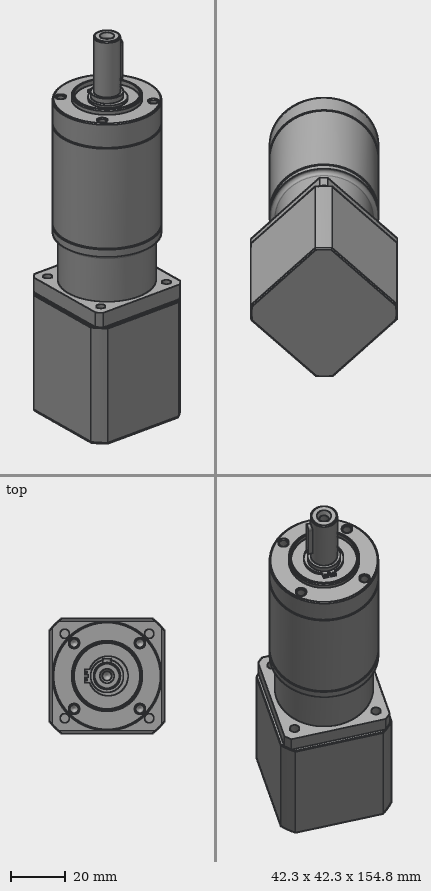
import cadquery as cq
import math

MOTOR_WIDTH = 42.3
CORNER_RADIUS = 27.0
MOTOR_HEIGHT = 48.3
TOP_BREAK_HEIGHT = 0.5
TOP_BREAK_INSET = 0.2
BOTTOM_BREAK_HEIGHT = 0.8
BOTTOM_BREAK_INSET = 0.5

FLANGE_WIDTH = 40.1
FLANGE_THICKNESS = 6.0
FLANGE_HOLE_SPACING = 31.0
FLANGE_HOLE_DIAMETER = 3.4

NECK_RADIUS = 18.1
BARREL_RADIUS = FLANGE_WIDTH / 2
BARREL_BOTTOM = 73.8
BARREL_TOP = 128.8
NECK_FILLET = 1.5
RIM_CHAMFER = 0.5
GROOVE_WIDTH = 0.5
GROOVE_DEPTH = 0.2
GROOVE_HEIGHTS = (76.8, 118.4)

TAPPED_HOLE_SPACING = 24.1
TAPPED_HOLE_RADIUS = 1.5
TAPPED_HOLE_DEPTH = 7.7
TAPPED_COUNTERSINK_RADIUS = 2.0
TAPPED_COUNTERSINK_DEPTH = 0.5
PILOT_RADIUS = 13.0
PILOT_HEIGHT = 2.0
RECESS_RADIUS = 12.0
RECESS_DEPTH = 1.9

RING_RADIUS = 7.3
RING_OFFSET = 0.5
RING_THICKNESS = 1.0
LUG_REACH = 8.2
LUG_WIDTH = 2.0
LUG_GAP = 0.8
LUG_HOLE_RADIUS = 0.3

SHAFT_TOP = 154.8
SHAFT_RADIUS = 5.0
COLLAR_RADIUS = 6.0
COLLAR_HEIGHT = 3.1
CENTRE_HOLE_RADIUS = 1.7
CENTRE_HOLE_DEPTH = 9.3
CENTRE_CONE_RADIUS = 2.6
CENTRE_CONE_DEPTH = 1.9
DRILL_TIP_ANGLE = 118.0

KEY_WIDTH = 3.0
KEY_LENGTH = 16.0
KEY_TOP_GAP = 3.5
KEY_CREST = 6.3

FLANGE_TOP = MOTOR_HEIGHT + FLANGE_THICKNESS
PILOT_TOP = BARREL_TOP + PILOT_HEIGHT
RECESS_FLOOR = PILOT_TOP - RECESS_DEPTH
COLLAR_TOP = BARREL_TOP + COLLAR_HEIGHT


def rounded_square(width, bottom, height):
    """Square prism whose corners are trimmed by a cylinder around the Z axis."""
    block = cq.Workplane("XY").workplane(offset=bottom).rect(width, width).extrude(height)
    trim = cq.Workplane("XY").workplane(offset=bottom).circle(CORNER_RADIUS).extrude(height)
    return block.intersect(trim)


def cylinder(radius, bottom, top):
    """Cylinder around the Z axis between two heights."""
    return cq.Workplane("XY").workplane(offset=bottom).circle(radius).extrude(top - bottom)


def square_pattern(spacing, tool):
    """Four copies of a tool on the corners of a square around the Z axis."""
    corners = cq.Workplane("XY").rect(spacing, spacing, forConstruction=True).vertices()
    return corners.eachpoint(lambda place: tool.val().moved(place))


def drilled_hole(radius, depth, cone_radius, cone_depth, mouth):
    """Countersunk blind hole on the Z axis: depth is to the end of the bore, below it the drill tip."""
    tip_depth = radius / math.tan(math.radians(DRILL_TIP_ANGLE / 2))
    return (
        cq.Workplane("XZ")
        .moveTo(0, mouth)
        .lineTo(cone_radius, mouth)
        .lineTo(radius, mouth - cone_depth)
        .lineTo(radius, mouth - depth)
        .lineTo(0, mouth - depth - tip_depth)
        .close()
        .revolve(360, (0, 0), (0, 1))
    )


def add_tapered_end(body, end, height, inset):
    """Extend an end face outward by a height while its outline shrinks by an inset."""
    taper = math.degrees(math.atan2(inset, height))
    return body.faces(end).wires().toPending().workplane().extrude(height, taper=taper)


def make_motor():
    """Block with full section in the middle and a tapered edge break at both ends."""
    full_height = MOTOR_HEIGHT - TOP_BREAK_HEIGHT - BOTTOM_BREAK_HEIGHT
    motor = rounded_square(MOTOR_WIDTH, BOTTOM_BREAK_HEIGHT, full_height)
    motor = add_tapered_end(motor, ">Z", TOP_BREAK_HEIGHT, TOP_BREAK_INSET)
    return add_tapered_end(motor, "<Z", BOTTOM_BREAK_HEIGHT, BOTTOM_BREAK_INSET)


def make_flange():
    flange = rounded_square(FLANGE_WIDTH, MOTOR_HEIGHT, FLANGE_THICKNESS)
    hole = cylinder(FLANGE_HOLE_DIAMETER / 2, MOTOR_HEIGHT, FLANGE_TOP)
    return flange.cut(square_pattern(FLANGE_HOLE_SPACING, hole))


def make_barrel():
    """Grooved barrel with the filleted neck below it."""
    barrel = cylinder(BARREL_RADIUS, BARREL_BOTTOM, BARREL_TOP)
    barrel = barrel.faces(">Z").edges().chamfer(RIM_CHAMFER)
    for height in GROOVE_HEIGHTS:
        groove = cylinder(BARREL_RADIUS, height, height + GROOVE_WIDTH)
        core = cylinder(BARREL_RADIUS - GROOVE_DEPTH, height, height + GROOVE_WIDTH)
        barrel = barrel.cut(groove.cut(core))
    barrel = barrel.union(cylinder(NECK_RADIUS, FLANGE_TOP, BARREL_BOTTOM))
    inner_corner = cq.selectors.BoxSelector(
        (-BARREL_RADIUS, -BARREL_RADIUS, BARREL_BOTTOM - 0.2),
        (BARREL_RADIUS, BARREL_RADIUS, BARREL_BOTTOM + 0.2),
    )
    return barrel.edges(inner_corner).edges(cq.selectors.RadiusNthSelector(0)).fillet(NECK_FILLET)


def make_pilot():
    pilot = cylinder(PILOT_RADIUS, BARREL_TOP, PILOT_TOP)
    return pilot.faces(">Z").edges().chamfer(RIM_CHAMFER)


def make_retaining_ring():
    """Flat ring with two eyed lugs on the -X side."""
    ring_top = RECESS_FLOOR + RING_THICKNESS
    ring = cylinder(RING_RADIUS, RECESS_FLOOR, ring_top).translate((RING_OFFSET, 0, 0))
    lug_offset = (LUG_GAP + LUG_WIDTH) / 2
    eye_distance = (LUG_REACH + RING_RADIUS - RING_OFFSET) / 2
    for side in (-1, 1):
        lug = (
            cq.Workplane("XY")
            .workplane(offset=RECESS_FLOOR)
            .center(-LUG_REACH / 2, side * lug_offset)
            .rect(LUG_REACH, LUG_WIDTH)
            .extrude(RING_THICKNESS)
        )
        eye = cylinder(LUG_HOLE_RADIUS, RECESS_FLOOR, ring_top)
        ring = ring.union(lug).cut(eye.translate((-eye_distance, side * lug_offset, 0)))
    return ring


def make_key():
    """Round-ended key reaching from the shaft axis out on the +Y side."""
    key_middle = SHAFT_TOP - KEY_TOP_GAP - KEY_LENGTH / 2
    return cq.Workplane("XZ").center(0, key_middle).slot2D(KEY_LENGTH, KEY_WIDTH, 90).extrude(-KEY_CREST)


def make_shaft():
    """Collar and keyed shaft with a centre hole in the end."""
    collar = cylinder(COLLAR_RADIUS, RECESS_FLOOR, COLLAR_TOP)
    shaft = cylinder(SHAFT_RADIUS, COLLAR_TOP, SHAFT_TOP)
    shaft = shaft.faces(">Z").edges().chamfer(RIM_CHAMFER)
    centre_hole = drilled_hole(
        CENTRE_HOLE_RADIUS, CENTRE_HOLE_DEPTH, CENTRE_CONE_RADIUS, CENTRE_CONE_DEPTH, SHAFT_TOP
    )
    return collar.union(shaft).union(make_key()).cut(centre_hole)


def make_gearbox():
    recess = cylinder(RECESS_RADIUS, RECESS_FLOOR, PILOT_TOP)
    tapped_hole = drilled_hole(
        TAPPED_HOLE_RADIUS,
        TAPPED_HOLE_DEPTH,
        TAPPED_COUNTERSINK_RADIUS,
        TAPPED_COUNTERSINK_DEPTH,
        BARREL_TOP,
    )
    housing = make_flange().union(make_barrel()).union(make_pilot())
    housing = housing.cut(recess).cut(square_pattern(TAPPED_HOLE_SPACING, tapped_hole))
    return housing.union(make_retaining_ring()).union(make_shaft())


motor = make_motor()
gearbox = make_gearbox()
result = cq.Compound.makeCompound([motor.val(), gearbox.val()])